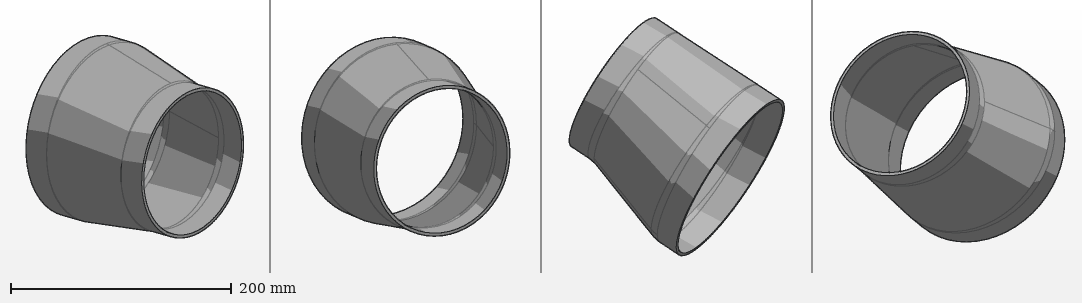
import math

import cadquery as cq

length = 140.0
large_diameter = 168.4
small_diameter = 139.7
wall = 2.95
end_length = 25.1
bend_radius = 25.3
flush_bend_reach = 0.08

large_corner_x = end_length
small_corner_x = length - end_length
eccentricity = (large_diameter - small_diameter) / 2
slant_angle = math.atan2(2 * eccentricity, small_corner_x - large_corner_x)
bend_reach = bend_radius * math.tan(slant_angle / 2)


def sharp_circle(x, inset):
    """Centre Y and radius of the unrounded reducer at x, `inset` inside its outer skin."""
    fraction = (x - large_corner_x) / (small_corner_x - large_corner_x)
    fraction = min(max(fraction, 0), 1)
    center_y = -eccentricity * fraction
    return center_y, large_diameter / 2 - eccentricity * fraction - inset


def section(top_x, bottom_x, inset):
    """Elliptical slice through the +Y point at top_x and the -Y point at bottom_x.

    Returned as (centre X, centre Y, half chord X, half chord Y, half width in Z).
    """
    top_center, top_radius = sharp_circle(top_x, inset)
    bottom_center, bottom_radius = sharp_circle(bottom_x, inset)
    top_y = top_center + top_radius
    bottom_y = bottom_center - bottom_radius
    x = (top_x + bottom_x) / 2
    y = (top_y + bottom_y) / 2
    circle_center, circle_radius = sharp_circle(x, inset)
    half_width = math.sqrt(circle_radius**2 - (y - circle_center) ** 2)
    return x, y, (top_x - bottom_x) / 2, (top_y - bottom_y) / 2, half_width


def bend_sections(corner_x, inset):
    """Start, middle and end slices of the rounding at a corner of the slant."""
    slanted_reach = bend_reach * math.cos(slant_angle)
    starts_straight = corner_x == large_corner_x
    reach_before = bend_reach if starts_straight else slanted_reach
    reach_after = slanted_reach if starts_straight else bend_reach
    start = section(corner_x - reach_before, corner_x - flush_bend_reach, inset)
    corner = section(corner_x, corner_x, inset)
    end = section(corner_x + reach_after, corner_x + flush_bend_reach, inset)
    middle = tuple((a + 2 * b + c) / 4 for a, b, c in zip(start, corner, end))
    return [start, middle, end]


def section_wire(slice_):
    x, y, chord_x, chord_y, half_width = slice_
    return cq.Wire.makeEllipse(
        math.hypot(chord_x, chord_y),
        half_width,
        center=cq.Vector(x, y, 0),
        normal=cq.Vector(chord_y, -chord_x, 0),
        xDir=cq.Vector(chord_x, chord_y, 0),
    )


def loft(slices, ruled):
    return cq.Workplane(cq.Solid.makeLoft([section_wire(s) for s in slices], ruled))


def reducer_body(inset):
    """Solid reducer whose surface lies `inset` inside the outer skin."""
    large_face = section(0, 0, inset)
    small_face = section(length, length, inset)
    large_bend = bend_sections(large_corner_x, inset)
    small_bend = bend_sections(small_corner_x, inset)
    return (
        loft([large_face, large_bend[0]], ruled=True)
        .union(loft(large_bend, ruled=False))
        .union(loft([large_bend[-1], small_bend[0]], ruled=True))
        .union(loft(small_bend, ruled=False))
        .union(loft([small_bend[-1], small_face], ruled=True))
    )


result = reducer_body(0).cut(reducer_body(wall))